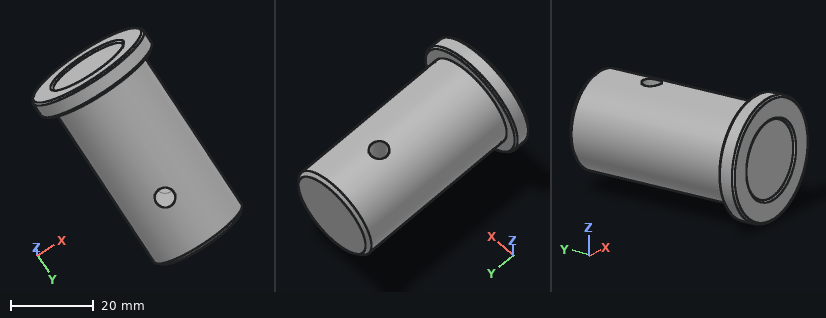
import cadquery as cq

length = 50.8
head_diameter = 32.0
head_thickness = 4.5
head_chamfer = 0.5
shank_diameter = 25.4
shank_chamfer = 1.0

recess_floor_diameter = 20.0
recess_depth = 0.5

hole_diameter = 5.0
hole_from_shank_end = 15.75

head_face_y = -length / 2
shank_end_y = length / 2


def cylinder_along_y(diameter, start_y, height):
    """Cylinder on the Y axis growing toward +Y from start_y."""
    base = cq.Workplane("XZ", origin=(0, start_y, 0))
    return base.circle(diameter / 2).extrude(-height)


def make_head():
    head = cylinder_along_y(head_diameter, head_face_y, head_thickness)
    return head.edges().chamfer(head_chamfer)


def make_shank():
    start_y = head_face_y + head_thickness / 2
    shank = cylinder_along_y(shank_diameter, start_y, shank_end_y - start_y)
    return shank.faces(">Y").edges().chamfer(shank_chamfer)


def make_recess():
    floor_radius = recess_floor_diameter / 2
    floor_y = head_face_y + recess_depth
    profile = [
        (0, head_face_y),
        (floor_radius + recess_depth, head_face_y),
        (floor_radius, floor_y),
        (0, floor_y),
    ]
    return cq.Workplane("XY").polyline(profile).close().revolve(360, (0, 0, 0), (0, 1, 0))


def make_cross_hole():
    hole_y = shank_end_y - hole_from_shank_end
    base = cq.Workplane("XY", origin=(0, hole_y, 0))
    return base.circle(hole_diameter / 2).extrude(shank_diameter / 2, both=True)


result = make_head().union(make_shank()).cut(make_recess()).cut(make_cross_hole())